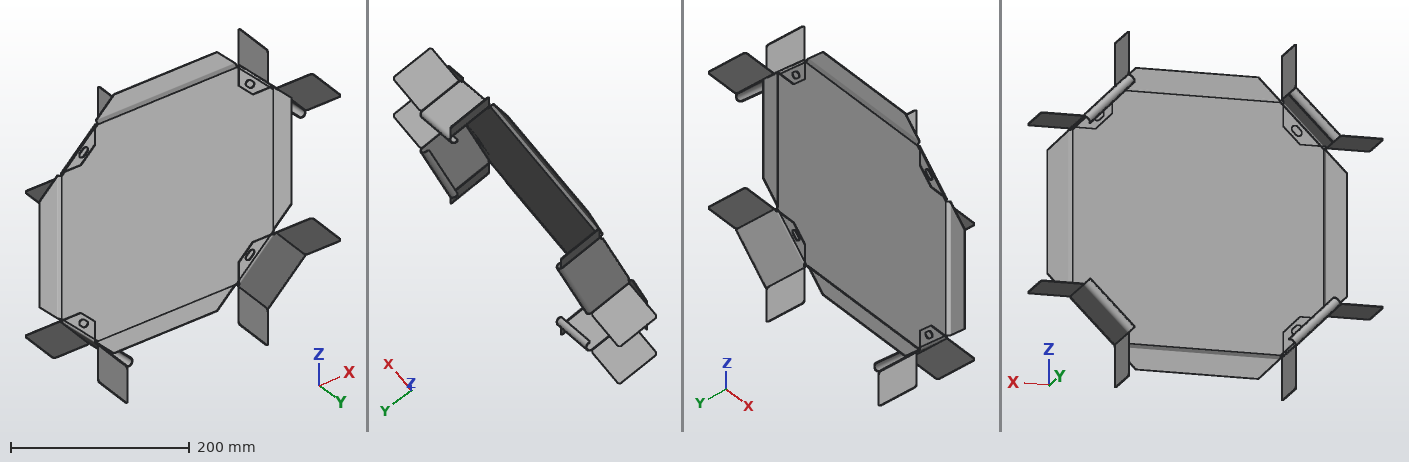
import cadquery as cq
import math

overall_span = 399.5
overall_depth = 64.5
sheet = 1.0
half_span = overall_span / 2
front_y = -overall_depth / 2
back_y = overall_depth / 2
root2 = math.sqrt(2)

corner_count = 4
CORNER_ANGLE = 45
QUARTER_TURN = 90

plate_half = 146.5
side_half_width = 96.5
joggle_angle = 45
joggle_drop = 3.4
joggle_radius = 0.5
wing_reach = 175.0
wing_outer_half = 71.5
plate_front_y = front_y + joggle_drop
plate_corner_cut = (plate_half + side_half_width) / root2

wall_outer = 175.5
bend_radius = 2.5
bend_centre = wall_outer - bend_radius
wall_inner = wall_outer - sheet
foot_inner_edge = 155.0
foot_side = 100.0
foot_front_y = plate_front_y - sheet
wall_bottom_y = foot_front_y + bend_radius

hook_radius = 5.5
lip_length = 2.8
lip_corner_radius = 2.5
hook_centre_y = back_y - hook_radius
hook_centre = wall_outer - hook_radius

flap_middle = 97.5
flap_top_y = 29.0
flap_bottom_y = -26.5
flap_corner_radius = 3.0
flap_relief_radius = 4.5
flap_outer_face = flap_middle + sheet / 2
wall_half_width = wall_outer - flap_outer_face * root2
flap_start = (wall_inner + wall_half_width) / root2

slot_centre = 163.5
slot_length = 13.5
slot_width = 8.0


def turn(body, angle):
    """Turn a body about the Y axis, from +Z toward +X for positive angles."""
    return body.rotate((0, 0, 0), (0, 1, 0), angle)


def make_side():
    """Joggle and wing on the +Z side of the plate."""
    bend_shift = sheet * math.tan(math.radians(joggle_angle) / 2)
    joggle_end = plate_half + joggle_drop / math.tan(math.radians(joggle_angle))
    section = (
        cq.Workplane("YZ")
        .moveTo(plate_front_y, plate_half - sheet)
        .lineTo(plate_front_y, plate_half)
        .lineTo(front_y, joggle_end)
        .lineTo(front_y, wing_reach)
        .lineTo(front_y + sheet, wing_reach)
        .lineTo(front_y + sheet, joggle_end + bend_shift)
        .lineTo(plate_front_y + sheet, plate_half + bend_shift)
        .lineTo(plate_front_y + sheet, plate_half - sheet)
        .close()
        .extrude(side_half_width, both=True)
    )
    for y, z, radius in [
        (plate_front_y, plate_half, joggle_radius),
        (front_y, joggle_end, joggle_radius + sheet),
        (front_y + sheet, joggle_end + bend_shift, joggle_radius),
        (plate_front_y + sheet, plate_half + bend_shift, joggle_radius + sheet),
    ]:
        bend_edge = cq.selectors.NearestToPointSelector((0, y, z))
        section = section.edges(bend_edge).fillet(radius)
    taper = wing_reach - (side_half_width - wing_outer_half)
    outline = (
        cq.Workplane("XZ", origin=(0, back_y, 0))
        .polyline([
            (-side_half_width, 0),
            (side_half_width, 0),
            (side_half_width, taper),
            (wing_outer_half, wing_reach),
            (-wing_outer_half, wing_reach),
            (-side_half_width, taper),
        ])
        .close()
        .extrude(overall_depth)
    )
    return section.intersect(outline)


def make_plate():
    """Eight-sided sheet with a joggled wing on each of its four long sides."""
    square = cq.Workplane("XY").box(2 * plate_half, sheet, 2 * plate_half)
    corner_trim = turn(
        cq.Workplane("XY").box(2 * plate_corner_cut, sheet, 2 * plate_corner_cut), CORNER_ANGLE
    )
    plate = square.intersect(corner_trim).translate((0, plate_front_y + sheet / 2, 0))
    side = make_side()
    for i in range(corner_count):
        plate = plate.union(turn(side, i * QUARTER_TURN))
    return plate


def make_foot():
    """Slotted foot and its bend; the wall's outward normal is +Z."""
    inner_radius = bend_radius - sheet
    foot = (
        cq.Workplane("YZ")
        .moveTo(foot_front_y, foot_inner_edge)
        .lineTo(foot_front_y, bend_centre)
        .radiusArc((wall_bottom_y, wall_outer), bend_radius)
        .lineTo(wall_bottom_y, wall_inner)
        .radiusArc((plate_front_y, bend_centre), -inner_radius)
        .lineTo(plate_front_y, foot_inner_edge)
        .close()
        .extrude(half_span, both=True)
    )
    side_trim = turn(
        cq.Workplane("XY").box(half_span, overall_depth, half_span, centered=(False, True, False))
        .translate((foot_side, 0, foot_side)),
        -CORNER_ANGLE,
    )
    slot = (
        cq.Workplane("XZ", origin=(0, plate_front_y, 0))
        .center(0, slot_centre)
        .slot2D(slot_length, slot_width)
        .extrude(sheet)
    )
    return foot.intersect(side_trim).cut(slot)


def make_wall():
    """Upright wall; its outward normal is +Z."""
    return cq.Workplane("XY").box(
        2 * wall_half_width, hook_centre_y - wall_bottom_y, sheet, centered=(True, False, False)
    ).translate((0, wall_bottom_y, wall_inner))


def make_hook():
    """Half-round hook along the top of the wall, ending in a short lip."""
    inner_radius = hook_radius - sheet
    lip_y = hook_centre_y - lip_length
    return (
        cq.Workplane("YZ")
        .moveTo(hook_centre_y, hook_centre + hook_radius)
        .threePointArc((back_y, hook_centre), (hook_centre_y, hook_centre - hook_radius))
        .lineTo(lip_y, hook_centre - hook_radius)
        .lineTo(lip_y, hook_centre - inner_radius)
        .lineTo(hook_centre_y, hook_centre - inner_radius)
        .threePointArc((back_y - sheet, hook_centre), (hook_centre_y, hook_centre + inner_radius))
        .close()
        .extrude(wall_half_width, both=True)
        .edges("|Z and <Y")
        .fillet(lip_corner_radius)
    )


def make_flap():
    """Flap standing out along +Z from the end of the wall, square only at its lower wall corner."""
    flap = cq.Workplane("XY").box(
        sheet, flap_top_y - flap_bottom_y, half_span - flap_start, centered=(True, False, False)
    ).translate((flap_middle, flap_bottom_y, flap_start))
    flap = flap.edges("|X and >Z").fillet(flap_corner_radius)
    return flap.edges("|X and >Y and <Z").fillet(flap_relief_radius)


def make_bracket():
    """Corner bracket between +X and +Z."""
    diagonal_parts = make_foot().union(make_wall()).union(make_hook())
    bracket = turn(diagonal_parts, CORNER_ANGLE)
    flap = make_flap()
    other_flap = turn(turn(flap, -CORNER_ANGLE).mirror("YZ"), CORNER_ANGLE)
    return bracket.union(flap).union(other_flap)


plate = make_plate()
first_bracket = make_bracket()
brackets = [turn(first_bracket, i * QUARTER_TURN) for i in range(corner_count)]

result = cq.Compound.makeCompound([
    *plate.solids().vals(),
    *[bracket.solids().val() for bracket in brackets],
])